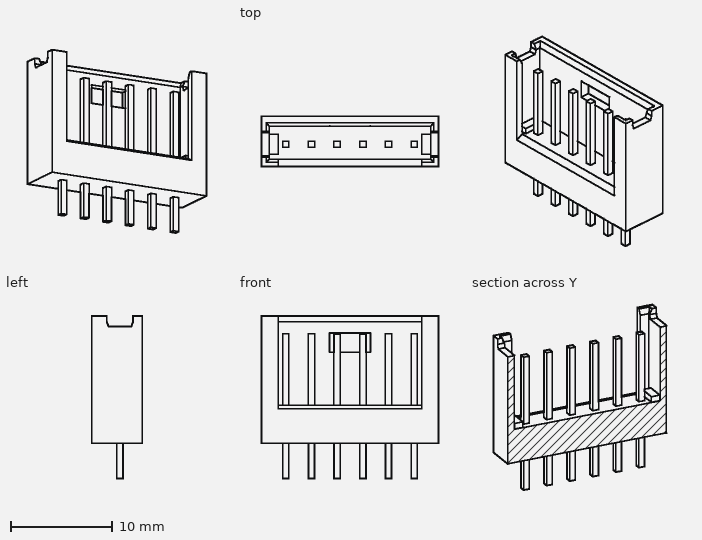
import cadquery as cq

length = 17.53
width = 5.0
height = 12.6
overlap = 0.18

end_wall = 0.75
front_wall = 0.74
back_wall = 1.0
floor_z = 3.63
cavity_length = length - 2 * end_wall
cavity_width = width - front_wall - back_wall
cavity_center_y = front_wall + cavity_width / 2

lead_in_depth = 0.56
lead_in_end = 0.26
lead_in_side = 0.32

post_width = 1.68
opening_length = length - 2 * post_width
sill_z = 3.42
sill_lip_z = 3.79

window_length = 4.05
window_bottom = 9.03
window_top = 10.9

row_y = 2.21

pin_count = 6
pin_pitch = 2.55
pin_size = 0.63
pin_tail = 3.49
pin_top = 10.83

notch_width = 2.56
notch_depth = 1.03
notch_bevel_width = 0.15
notch_bevel_height = 0.44

key_width = 2.0
key_height = 0.6
key_length = post_width - end_wall


def block(size_x, size_y, size_z, center_x, center_y, bottom_z):
    """Box placed by its centre in X and Y and by its bottom in Z."""
    box = cq.Workplane("XY").box(size_x, size_y, size_z, centered=(True, True, False))
    return box.translate((center_x, center_y, bottom_z))


def cavity():
    depth = height - floor_z + overlap
    return block(cavity_length, cavity_width, depth, 0, cavity_center_y, floor_z)


def lead_in():
    """Tapered mouth of the cavity, widening to the top face."""
    return (
        cq.Workplane("XY", origin=(0, cavity_center_y, height - lead_in_depth))
        .rect(cavity_length, cavity_width)
        .workplane(offset=lead_in_depth)
        .rect(cavity_length + 2 * lead_in_end, cavity_width + 2 * lead_in_side)
        .loft(ruled=True)
    )


def front_opening():
    profile = [
        (0, sill_z),
        (front_wall, sill_lip_z),
        (front_wall + overlap, sill_lip_z),
        (front_wall + overlap, height + overlap),
        (-overlap, height + overlap),
        (-overlap, sill_z),
    ]
    return cq.Workplane("YZ").polyline(profile).close().extrude(opening_length / 2, both=True)


def latch_window():
    depth = back_wall + 2 * overlap
    center_y = width - back_wall / 2
    return block(window_length, depth, window_top - window_bottom, 0, center_y, window_bottom)


def end_notches():
    """One prism along X that notches both end walls."""
    half_top = notch_width / 2
    half_bottom = half_top - notch_bevel_width
    bottom_z = height - notch_depth
    bevel_z = bottom_z + notch_bevel_height
    profile = [
        (row_y - half_bottom, bottom_z),
        (row_y + half_bottom, bottom_z),
        (row_y + half_top, bevel_z),
        (row_y + half_top, height + overlap),
        (row_y - half_top, height + overlap),
        (row_y - half_top, bevel_z),
    ]
    return cq.Workplane("YZ").polyline(profile).close().extrude(length / 2 + overlap, both=True)


housing = block(length, width, height, 0, width / 2, 0)
for cutter in (cavity(), lead_in(), front_opening(), latch_window(), end_notches()):
    housing = housing.cut(cutter)

result = housing

key_x = (cavity_length - key_length) / 2
for side in (-1, 1):
    result = result.union(block(key_length, key_width, key_height, side * key_x, row_y, floor_z))

for index in range(pin_count):
    pin_x = (index - (pin_count - 1) / 2) * pin_pitch
    result = result.union(block(pin_size, pin_size, pin_top + pin_tail, pin_x, row_y, -pin_tail))